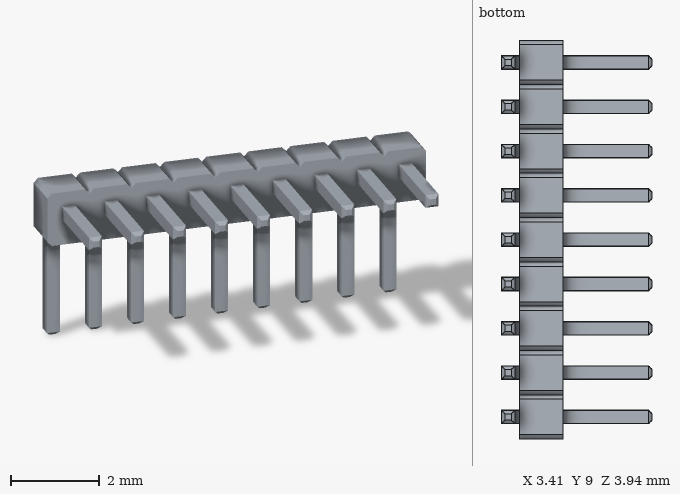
import cadquery as cq

pin_count = 9
row_length = 9.0
pitch = row_length / pin_count

body_width = 0.99
body_height = 1.28
notch_depth = 0.11
notch_half_width = 0.1

pin_size = 0.31
tail_gap = 0.405
pin_reach = 2.01
pin_drop = 0.35
tail_end_depth = 3.94
outer_bend_radius = 0.47
inner_bend_radius = outer_bend_radius - pin_size
tip_chamfer = 0.08

body_top = tail_end_depth
body_bottom = body_top - body_height
pin_end = tail_gap + body_width + pin_reach
pin_top = body_top - pin_drop
pin_bottom = pin_top - pin_size
bend_start = pin_top - outer_bend_radius


def body_block(y_center):
    """One pitch of the body, an octagon in YZ extruded along X."""
    half_pitch = pitch / 2
    half_flat = half_pitch - notch_half_width
    low_shoulder = body_bottom + notch_depth
    high_shoulder = body_top - notch_depth
    outline = [
        (-half_flat, body_bottom),
        (half_flat, body_bottom),
        (half_pitch, low_shoulder),
        (half_pitch, high_shoulder),
        (half_flat, body_top),
        (-half_flat, body_top),
        (-half_pitch, high_shoulder),
        (-half_pitch, low_shoulder),
    ]
    return (
        cq.Workplane("YZ", origin=(tail_gap, y_center, 0))
        .polyline(outline)
        .close()
        .extrude(body_width)
    )


def bent_pin(y_center):
    """Tail, bend and straight pin, chamfered around both ends."""
    return (
        cq.Workplane("XZ", origin=(0, y_center, 0))
        .lineTo(0, bend_start)
        .radiusArc((outer_bend_radius, pin_top), outer_bend_radius)
        .lineTo(pin_end, pin_top)
        .lineTo(pin_end, pin_bottom)
        .lineTo(outer_bend_radius, pin_bottom)
        .radiusArc((pin_size, bend_start), -inner_bend_radius)
        .lineTo(pin_size, 0)
        .close()
        .extrude(pin_size / 2, both=True)
        .faces("<Z")
        .chamfer(tip_chamfer)
        .faces(">X")
        .chamfer(tip_chamfer)
    )


result = cq.Workplane()
for index in range(pin_count):
    pin_y = (index - (pin_count - 1) / 2) * pitch
    result = result.union(body_block(pin_y)).union(bent_pin(pin_y))